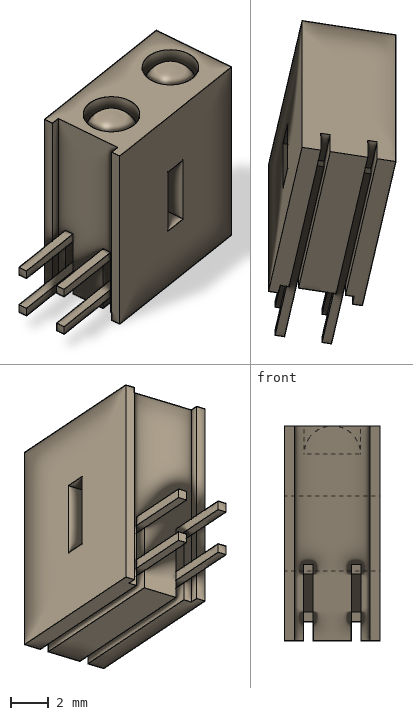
import cadquery as cq

width = 5.08
height = 11.43
depth = 9.65
flange_width = 0.54
flange_depth = 0.51

lamp_pitch = 5.08
rear_lamp_inset = 2.03
lamp_radius = 1.5

lead_size = 0.51
lead_pitch = 2.54
lead_projection = 3.5
lower_lead_z = 1.27
upper_lead_z = lower_lead_z + lead_pitch

window_width = 1.3
window_height = 4.0

front_y = -depth / 2
rear_y = depth / 2
lead_tip_y = front_y - lead_projection
rear_lamp_y = rear_y - rear_lamp_inset
front_lamp_y = rear_lamp_y - lamp_pitch
front_slot_end_y = front_lamp_y + lead_size / 2
front_slot_height = upper_lead_z + lead_size / 2
low_slot_height = lower_lead_z + lead_size / 2
dome_base_z = height - lamp_radius
lead_positions = (-lead_pitch / 2, lead_pitch / 2)


def make_box(x_range, y_range, z_range):
    """Box spanning the given (low, high) range along each axis."""
    low, high = zip(x_range, y_range, z_range)
    size = [b - a for a, b in zip(low, high)]
    return cq.Workplane("XY").box(*size, centered=False).translate(low)


def centred_range(centre, size):
    return (centre - size / 2, centre + size / 2)


def make_lead_slot(x):
    """Low slot along the whole housing, raised to the upper lead under the front lamp."""
    x_range = centred_range(x, lead_size)
    low_part = make_box(x_range, (front_y, rear_y), (0, low_slot_height))
    front_part = make_box(x_range, (front_y, front_slot_end_y), (0, front_slot_height))
    return low_part.union(front_part)


def make_housing():
    """Block with the front recess, the side window and the lead slots cut out."""
    body = make_box(centred_range(0, width), (front_y, rear_y), (0, height))
    recess_width = width - 2 * flange_width
    recess = make_box(centred_range(0, recess_width), (front_y, front_y + flange_depth), (0, height))
    window = make_box(
        centred_range(0, width),
        centred_range(0, window_width),
        centred_range(height / 2, window_height),
    )
    body = body.cut(recess).cut(window)
    for x in lead_positions:
        body = body.cut(make_lead_slot(x))
    return body


def make_lamp_well(y):
    """Round well in the top face, one lamp radius deep."""
    return cq.Workplane("XY", origin=(0, y, dome_base_z)).circle(lamp_radius).extrude(lamp_radius)


def make_lamp_dome(y):
    """Hemisphere standing on the well floor, its crown level with the housing top."""
    profile = (
        cq.Workplane("XZ")
        .lineTo(lamp_radius, 0)
        .radiusArc((0, lamp_radius), -lamp_radius)
        .close()
    )
    return profile.revolve(360, (0, 0), (0, 1)).translate((0, y, dome_base_z))


def make_lead(x, lamp_y, z):
    """Square bar running forward from under its lamp and out of the front."""
    y_range = (lead_tip_y, lamp_y + lead_size / 2)
    return make_box(centred_range(x, lead_size), y_range, centred_range(z, lead_size))


result = make_housing()
for lamp_y, lead_z in ((front_lamp_y, upper_lead_z), (rear_lamp_y, lower_lead_z)):
    result = result.cut(make_lamp_well(lamp_y)).union(make_lamp_dome(lamp_y))
    for x in lead_positions:
        result = result.union(make_lead(x, lamp_y, lead_z))